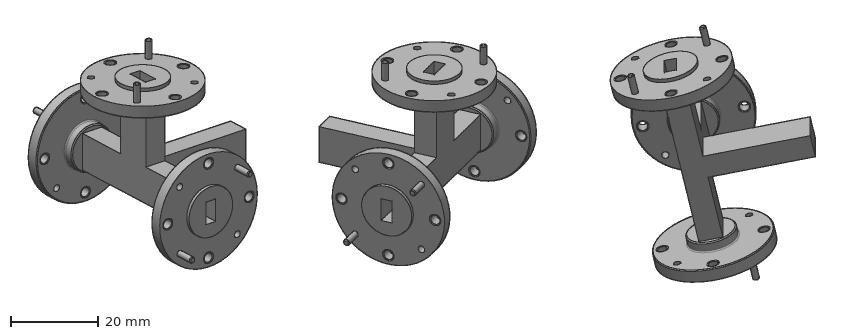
import cadquery as cq
import math

TUBE_WIDE = 9.25
TUBE_NARROW = 5.6
BORE_WIDE = 5.7
BORE_NARROW = 2.85

PIN_TIP = 28.95
BOSS_FACE = 25.1
PLATE_FRONT = 24.2
PLATE_BACK = 21.1
HUB_END = 18.65

PLATE_DIAMETER = 28.6
PLATE_CHAMFER = 0.25
BOSS_DIAMETER = 12.75
HUB_DIAMETER = 11.95
HUB_CHAMFER = 0.3
HUB_ROOT_FILLET = 0.3

HOLE_CIRCLE_RADIUS = 11.95
SCREW_HOLE_DIAMETER = 2.3
COUNTERSINK_DIAMETER = 2.9
COUNTERSINK_DEPTH = 0.1
PIN_HOLE_DIAMETER = 1.7
PIN_DIAMETER = 1.55
PIN_TIP_CHAMFER = 0.25

SIDE_ARM_END = 28.0
END_CAP_THICKNESS = 1.4


def disc(diameter, start, end):
    """Cylinder on the Z axis between two heights."""
    return cq.Workplane("XY").workplane(offset=start).circle(diameter / 2).extrude(end - start)


def points_on_circle(first_angle, count):
    """Evenly spaced points on the hole circle, the first at first_angle (degrees)."""
    angles = [math.radians(first_angle + i * 360 / count) for i in range(count)]
    return [(HOLE_CIRCLE_RADIUS * math.cos(a), HOLE_CIRCLE_RADIUS * math.sin(a)) for a in angles]


def make_flange():
    """Round flange facing +Z, with its bore still closed."""
    boss_radius = BOSS_DIAMETER / 2
    plate_radius = PLATE_DIAMETER / 2
    hub_radius = HUB_DIAMETER / 2
    flange = (
        cq.Workplane("XZ")
        .moveTo(0, BOSS_FACE)
        .lineTo(boss_radius, BOSS_FACE)
        .lineTo(boss_radius, PLATE_FRONT)
        .lineTo(plate_radius, PLATE_FRONT)
        .lineTo(plate_radius, PLATE_BACK + PLATE_CHAMFER)
        .lineTo(plate_radius - PLATE_CHAMFER, PLATE_BACK)
        .lineTo(hub_radius + HUB_ROOT_FILLET, PLATE_BACK)
        .radiusArc((hub_radius, PLATE_BACK - HUB_ROOT_FILLET), -HUB_ROOT_FILLET)
        .lineTo(hub_radius, HUB_END + HUB_CHAMFER)
        .lineTo(hub_radius - HUB_CHAMFER, HUB_END)
        .lineTo(0, HUB_END)
        .close()
        .revolve(360, (0, 0, 0), (0, 1, 0))
    )

    screw_hole = disc(SCREW_HOLE_DIAMETER, PLATE_BACK, PLATE_FRONT)
    for outside, inside in (
        (PLATE_FRONT, PLATE_FRONT - COUNTERSINK_DEPTH),
        (PLATE_BACK, PLATE_BACK + COUNTERSINK_DEPTH),
    ):
        cone = (
            cq.Workplane("XY").workplane(offset=outside).circle(COUNTERSINK_DIAMETER / 2)
            .workplane(offset=inside - outside).circle(SCREW_HOLE_DIAMETER / 2).loft()
        )
        screw_hole = screw_hole.union(cone)
    for x, y in points_on_circle(0, 4):
        flange = flange.cut(screw_hole.translate((x, y, 0)))

    pin_hole = disc(PIN_HOLE_DIAMETER, PLATE_BACK, PLATE_FRONT)
    pin = disc(PIN_DIAMETER, PLATE_BACK, PIN_TIP).faces(">Z").chamfer(PIN_TIP_CHAMFER)
    for x, y in points_on_circle(45, 2):
        flange = flange.cut(pin_hole.translate((x, y, 0)))
    for x, y in points_on_circle(135, 2):
        flange = flange.union(pin.translate((x, y, 0)))
    return flange


def make_arms(wide, narrow, through_end, top_end, side_end):
    """Solid block made of the through arm (X), the top arm (+Z) and the side arm (+Y)."""
    through_arm = cq.Workplane("XY").box(2 * through_end, narrow, wide)
    top_arm = cq.Workplane("XY").box(wide, narrow, top_end, centered=(True, True, False))
    side_arm = cq.Workplane("XY").box(narrow, side_end, wide, centered=(True, False, True))
    return through_arm.union(top_arm).union(side_arm)


body = make_arms(TUBE_WIDE, TUBE_NARROW, PLATE_BACK, PLATE_BACK, SIDE_ARM_END)

flange = make_flange()
for turn in (0, -90, 90):
    body = body.union(flange.rotate((0, 0, 0), (0, 1, 0), turn))

bore = make_arms(BORE_WIDE, BORE_NARROW, BOSS_FACE, BOSS_FACE, SIDE_ARM_END - END_CAP_THICKNESS)
result = body.cut(bore)